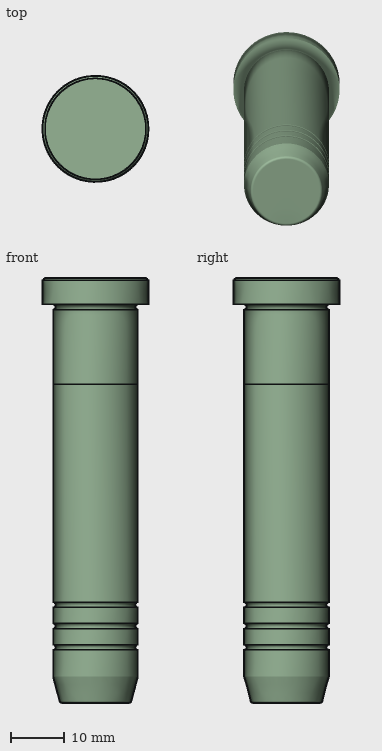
import cadquery as cq
import math

total_length = 80.0
shank_radius = 8.0
split_height = 60.0

head_radius = 10.0
head_height = 5.0
head_chamfer = 0.5
head_underside = total_length - head_height

groove_radius = 0.5
groove_count = 3
groove_spacing = 4.0
lowest_groove_height = 10.5
undercut_height = head_underside - groove_radius

lead_length = 5.0
lead_angle = math.radians(15)
foot_radius = shank_radius - lead_length * math.tan(lead_angle)
foot_fillet = 0.5


def cylinder(radius, bottom, top):
    return cq.Workplane("XY").workplane(offset=bottom).circle(radius).extrude(top - bottom)


def groove_cutter(height):
    """Ring of circular section centred on the shank surface."""
    return cq.Workplane(
        cq.Solid.makeTorus(shank_radius, groove_radius, cq.Vector(0, 0, height))
    )


def make_head_section():
    """Upper body: chamfered head on a plain shank with an undercut."""
    shank = cylinder(shank_radius, split_height, head_underside)
    shank = shank.cut(groove_cutter(undercut_height))
    head = cylinder(head_radius, head_underside, total_length)
    head = head.faces(">Z").chamfer(head_chamfer)
    return shank.union(head)


def make_guide_section():
    """Lower body: shank with oil grooves and a tapered, rounded foot."""
    profile = (
        cq.Workplane("XZ")
        .moveTo(0, 0)
        .lineTo(foot_radius, 0)
        .lineTo(shank_radius, lead_length)
        .lineTo(shank_radius, split_height)
        .lineTo(0, split_height)
        .close()
    )
    guide = profile.revolve(360, (0, 0, 0), (0, 1, 0))
    guide = guide.faces("<Z").edges().fillet(foot_fillet)
    for index in range(groove_count):
        guide = guide.cut(groove_cutter(lowest_groove_height + index * groove_spacing))
    return guide


head_section = make_head_section()
guide_section = make_guide_section()

result = cq.Compound.makeCompound([head_section.val(), guide_section.val()])